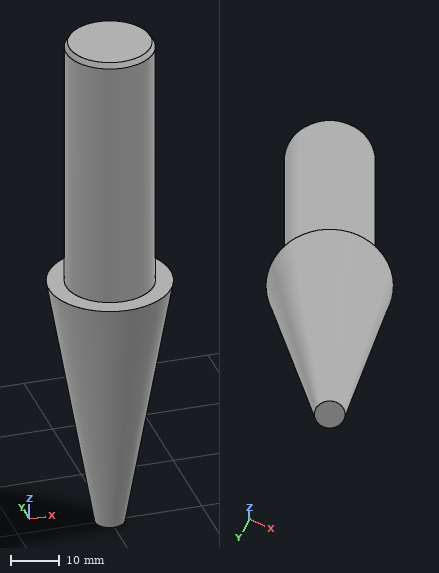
import cadquery as cq

total_length = 114.3
cone_length = 57.4
shank_length = total_length - cone_length

cone_base_diameter = 26.5
tip_diameter = 6.4

shank_diameter = 19.0
chamfer_height = 1.1
chamfer_width = 0.7


def make_cone():
    """Truncated cone, narrow end down, with its wide face at the shank."""
    return cq.Workplane("XY").add(
        cq.Solid.makeCone(tip_diameter / 2, cone_base_diameter / 2, cone_length)
    )


def make_shank():
    """Straight round shank standing on the cone, chamfered at its top end."""
    return (
        cq.Workplane("XY", origin=(0, 0, cone_length))
        .circle(shank_diameter / 2)
        .extrude(shank_length)
        .faces(">Z")
        .chamfer(chamfer_height, chamfer_width)
    )


cone = make_cone()
shank = make_shank()

result = cq.Compound.makeCompound([cone.val(), shank.val()])